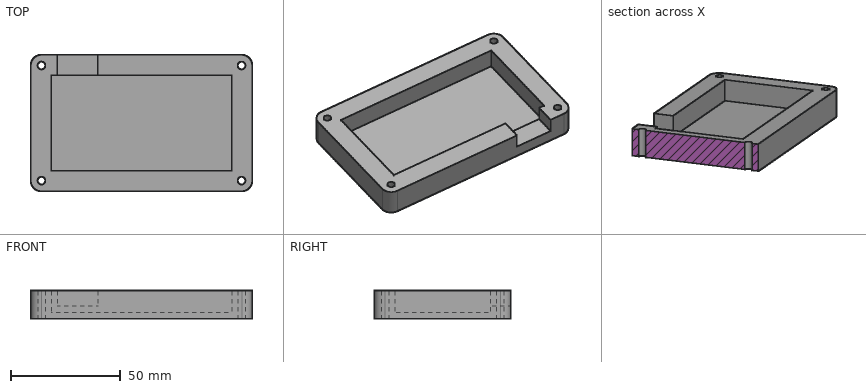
import cadquery as cq

length = 101.2
width = 62.4
height = 13.0
corner_radius = 5.0

pocket_length = 82.3
pocket_width = 43.5
floor_thickness = 3.0

notch_left = -38.4
notch_right = -20.0
notch_depth = 7.1

hole_diameter = 3.4
hole_spacing_x = length - 2 * corner_radius
hole_spacing_y = width - 2 * corner_radius


def make_block():
    block = cq.Workplane("XY").box(length, width, height, centered=(True, True, False))
    return block.edges("|Z").fillet(corner_radius)


def make_pocket():
    pocket = cq.Workplane("XY").workplane(offset=floor_thickness)
    return pocket.rect(pocket_length, pocket_width).extrude(height - floor_thickness)


def make_notch():
    wall = (width - pocket_width) / 2
    notch = cq.Workplane("XY").box(notch_right - notch_left, wall, notch_depth, centered=False)
    return notch.translate((notch_left, pocket_width / 2, height - notch_depth))


def make_corner_holes():
    corners = cq.Workplane("XY").rect(hole_spacing_x, hole_spacing_y, forConstruction=True)
    return corners.vertices().circle(hole_diameter / 2).extrude(height)


result = make_block().cut(make_pocket()).cut(make_notch()).cut(make_corner_holes())